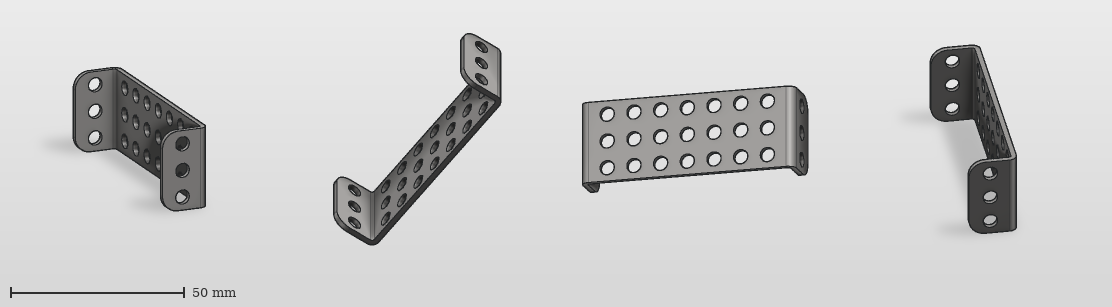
import cadquery as cq

length = 64.0
depth = 14.3
height = 24.0

thickness = 1.6
inner_bend_radius = 0.8
outer_bend_radius = inner_bend_radius + thickness
flange_corner_radius = 4.8

pitch = 8.0
hole_diameter = 4.2
web_columns = 7
rows = 3

flange_hole_y = -pitch


def rounded_block(width, back_y, bend_radius):
    """Full-height block from the flange tips to back_y, rounded at its back corners."""
    block_depth = depth + back_y
    return (
        cq.Workplane("XY")
        .box(width, block_depth, height)
        .translate((0, back_y - block_depth / 2, 0))
        .edges("|Z and >Y")
        .fillet(bend_radius)
    )


def bent_sheet():
    """U-shaped sheet with the free corners of both flanges rounded."""
    outside = rounded_block(length, 0, outer_bend_radius)
    inside = rounded_block(length - 2 * thickness, -thickness, inner_bend_radius)
    sheet = outside.cut(inside)
    return sheet.faces("<Y").edges("|X").fillet(flange_corner_radius)


def web_holes():
    """Grid of cutters through the web, centred on it."""
    return (
        cq.Workplane("XZ")
        .rarray(pitch, pitch, web_columns, rows)
        .circle(hole_diameter / 2)
        .extrude(thickness)
    )


def flange_holes():
    """Column of cutters running through both flanges."""
    return (
        cq.Workplane("YZ")
        .center(flange_hole_y, 0)
        .rarray(pitch, pitch, 1, rows)
        .circle(hole_diameter / 2)
        .extrude(length / 2, both=True)
    )


result = bent_sheet().cut(web_holes()).cut(flange_holes())